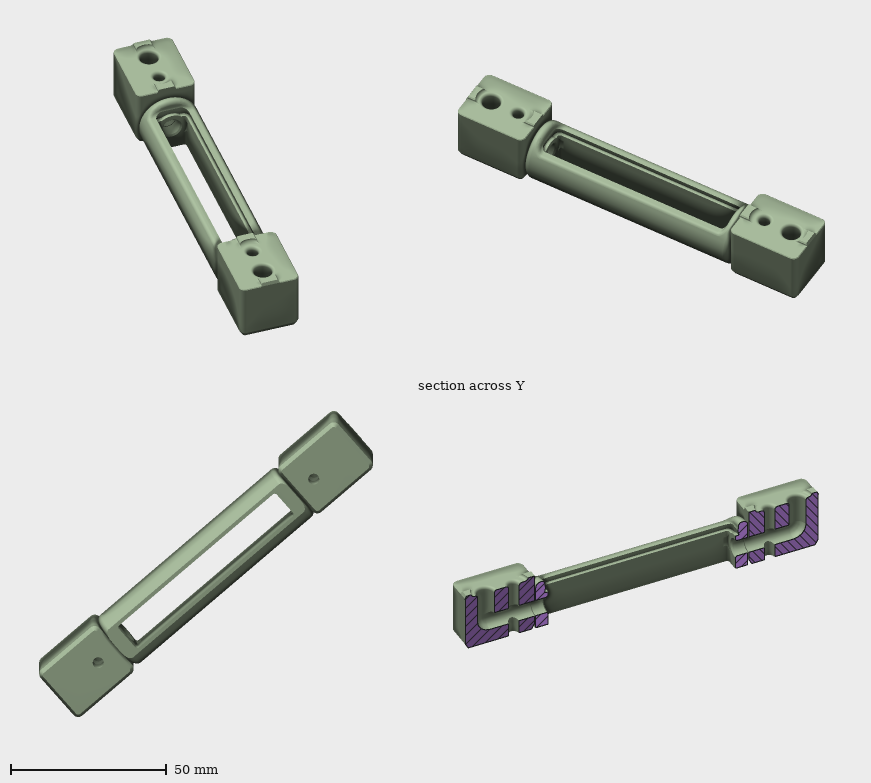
import cadquery as cq
import math

TOTAL_LENGTH = 126.7
BODY_WIDTH = 20.0
BLOCK_LENGTH = 25.0
BLOCK_HEIGHT = 20.0
KEY_OVERHANG = 0.06
OUTER_X = TOTAL_LENGTH / 2 - KEY_OVERHANG
BLOCK_INNER_X = OUTER_X - BLOCK_LENGTH
JOINT_GAP = 0.3
JOINT_X = BLOCK_INNER_X - JOINT_GAP
BLOCK_CENTER_X = (BLOCK_INNER_X + OUTER_X) / 2
AXIS_Z = 8.0

CORNER_RADIUS = 2.0
BASE_CHAMFER_HEIGHT = 1.9
BASE_CHAMFER_INSET = 1.1
TOP_CHAMFER = 0.3

KEY_HEIGHT = 1.0
KEY_TOP_Z = BLOCK_HEIGHT + KEY_HEIGHT
KEY_WIDTH = 5.8
KEY_TOP_CHAMFER = 0.4
KEY_ROOT_FILLET = 0.4
KEY_END_LEAN = 0.5

MOUNT_HOLE_X = OUTER_X - 7.5
BORE_DIAMETER = 6.0
MOUNT_RIM_FILLET = 1.0
MOUNT_RELIEF_DIAMETER = 10.3

PIN_HOLE_X = OUTER_X - 17.5
PIN_HOLE_DIAMETER = 3.5
PIN_RIM_FILLET = 1.2
PIN_RELIEF_DIAMETER = 10.0
RELIEF_FILLET = 1.0

ELBOW_BEND_RADIUS = 1.4

BORE_MOUTH_CHAMFER = 0.5
SELECT_MARGIN = 0.1
ROD_RADIUS = BODY_WIDTH / 2
ROD_END_FILLET = 1.9
RAIL_Z = 14.0
LIP_THICKNESS = 3.5
LIP_X = JOINT_X - LIP_THICKNESS
LIP_ROOT_FILLET = 1.9
RIM_FILLET = 1.5

POCKET_WIDTH = 11.1
POCKET_CORNER = 2.2
POCKET_DEPTH = 2.0
POCKET_UNDERCUT = 0.4
LEDGE_Z = RAIL_Z - POCKET_DEPTH

WINDOW_X = JOINT_X - 4.5
WINDOW_WIDTH = 9.6
WINDOW_CORNER = 0.9
PAD_DIAMETER = 10.3
SEAT_CLEARANCE = 1.6


def x_cylinder(radius, x_start, x_end):
    """Cylinder on the rod axis between two X positions."""
    plane = cq.Workplane("YZ", origin=(x_start, 0, AXIS_Z))
    return plane.circle(radius).extrude(x_end - x_start)


def z_cylinder(x, diameter, z_low, z_high):
    """Upright cylinder on the mid-plane."""
    plane = cq.Workplane("XY", origin=(x, 0, z_low))
    return plane.circle(diameter / 2).extrude(z_high - z_low)


def make_block_body():
    """Rounded block, tapered at the base and with its top edge broken."""
    body = (
        cq.Workplane("XY", origin=(BLOCK_CENTER_X, 0, 0))
        .rect(BLOCK_LENGTH, BODY_WIDTH)
        .extrude(BLOCK_HEIGHT)
        .edges("|Z")
        .fillet(CORNER_RADIUS)
    )
    bottom = body.faces("<Z")
    body = bottom.chamfer(BASE_CHAMFER_HEIGHT, BASE_CHAMFER_INSET)
    return body.faces(">Z").chamfer(TOP_CHAMFER)


def make_key_bar():
    """Key along the whole block: flared root, chamfered top, leaning outer end."""
    half = KEY_WIDTH / 2
    root = half + KEY_ROOT_FILLET
    swing = KEY_ROOT_FILLET * (1 - math.sqrt(0.5))
    end_x = OUTER_X + KEY_OVERHANG
    embed_z = BLOCK_HEIGHT - TOP_CHAMFER
    section = (
        cq.Workplane("YZ", origin=(BLOCK_INNER_X, 0, 0))
        .moveTo(-root, embed_z)
        .lineTo(-root, BLOCK_HEIGHT)
        .threePointArc((-half - swing, BLOCK_HEIGHT + swing), (-half, BLOCK_HEIGHT + KEY_ROOT_FILLET))
        .lineTo(-half, KEY_TOP_Z - KEY_TOP_CHAMFER)
        .lineTo(-half + KEY_TOP_CHAMFER, KEY_TOP_Z)
        .lineTo(half - KEY_TOP_CHAMFER, KEY_TOP_Z)
        .lineTo(half, KEY_TOP_Z - KEY_TOP_CHAMFER)
        .lineTo(half, BLOCK_HEIGHT + KEY_ROOT_FILLET)
        .threePointArc((half + swing, BLOCK_HEIGHT + swing), (root, BLOCK_HEIGHT))
        .lineTo(root, embed_z)
        .close()
        .extrude(end_x - BLOCK_INNER_X)
    )
    side = (
        cq.Workplane("XZ")
        .polyline([
            (BLOCK_INNER_X, embed_z),
            (BLOCK_INNER_X, KEY_TOP_Z),
            (end_x - KEY_END_LEAN, KEY_TOP_Z),
            (end_x, BLOCK_HEIGHT),
            (end_x, embed_z),
        ])
        .close()
        .extrude(BODY_WIDTH / 2, both=True)
    )
    return section.intersect(side)


def key_relief(x, diameter):
    """Round clearing above the block top, with its bottom edge rounded."""
    relief = z_cylinder(x, diameter, BLOCK_HEIGHT, KEY_TOP_Z + RELIEF_FILLET)
    return relief.faces("<Z").edges().fillet(RELIEF_FILLET)


def make_keys():
    """Bar split into an outer and an inner key by the clearings around the holes."""
    gap_length = MOUNT_HOLE_X - PIN_HOLE_X
    gap = (
        cq.Workplane("XY", origin=((MOUNT_HOLE_X + PIN_HOLE_X) / 2, 0, BLOCK_HEIGHT))
        .rect(gap_length, BODY_WIDTH)
        .extrude(KEY_HEIGHT)
    )
    mount_relief = key_relief(MOUNT_HOLE_X, MOUNT_RELIEF_DIAMETER)
    pin_relief = key_relief(PIN_HOLE_X, PIN_RELIEF_DIAMETER)
    return make_key_bar().cut(gap).cut(mount_relief).cut(pin_relief)


def rounded_hole(x, diameter, rim_fillet, z_low):
    """Cutter for an upright hole whose rim flares out to the block top in a round."""
    radius = diameter / 2
    swing = rim_fillet * (1 - math.sqrt(0.5))
    return (
        cq.Workplane("XZ", origin=(x, 0, 0))
        .moveTo(0, z_low)
        .lineTo(radius, z_low)
        .lineTo(radius, BLOCK_HEIGHT - rim_fillet)
        .threePointArc(
            (radius + swing, BLOCK_HEIGHT - swing),
            (radius + rim_fillet, BLOCK_HEIGHT),
        )
        .lineTo(0, BLOCK_HEIGHT)
        .close()
        .revolve(360, (0, 0, 0), (0, 1, 0))
    )


def make_elbow():
    """Tight bend joining the lengthwise bore to the mount hole.

    The bend is tighter than the bore radius, so only the part of the round section
    outside the bend axis is swept.
    """
    radius = BORE_DIAMETER / 2
    half_chord = math.sqrt(radius**2 - ELBOW_BEND_RADIUS**2)
    bend_x = MOUNT_HOLE_X - ELBOW_BEND_RADIUS
    bend_z = AXIS_Z + ELBOW_BEND_RADIUS
    return (
        cq.Workplane("XY", origin=(bend_x, 0, bend_z))
        .moveTo(0, -half_chord)
        .threePointArc((ELBOW_BEND_RADIUS + radius, 0), (0, half_chord))
        .close()
        .revolve(90, (0, 0, 0), (0, 1, 0))
    )


def make_end_block():
    """Block at the +X end."""
    bend_x = MOUNT_HOLE_X - ELBOW_BEND_RADIUS
    bend_z = AXIS_Z + ELBOW_BEND_RADIUS
    bore = x_cylinder(BORE_DIAMETER / 2, BLOCK_INNER_X, bend_x)
    mount_hole = rounded_hole(MOUNT_HOLE_X, BORE_DIAMETER, MOUNT_RIM_FILLET, bend_z)
    pin_hole = rounded_hole(PIN_HOLE_X, PIN_HOLE_DIAMETER, PIN_RIM_FILLET, 0)
    block = make_block_body().union(make_keys())
    for cutter in (bore, make_elbow(), mount_hole, pin_hole):
        block = block.cut(cutter)
    return block


def make_rod():
    """Flat-bottomed round rod with rounded ends."""
    inset = ROD_RADIUS - ROD_END_FILLET
    round_offset = ROD_END_FILLET * math.sqrt(0.5)
    profile = (
        cq.Workplane("XZ")
        .moveTo(-JOINT_X, 0)
        .lineTo(-JOINT_X, -inset)
        .threePointArc(
            (-JOINT_X + ROD_END_FILLET - round_offset, -inset - round_offset),
            (-JOINT_X + ROD_END_FILLET, -ROD_RADIUS),
        )
        .lineTo(JOINT_X - ROD_END_FILLET, -ROD_RADIUS)
        .threePointArc(
            (JOINT_X - ROD_END_FILLET + round_offset, -inset - round_offset),
            (JOINT_X, -inset),
        )
        .lineTo(JOINT_X, 0)
        .close()
    )
    rod = profile.revolve(360, (0, 0, 0), (1, 0, 0)).translate((0, 0, AXIS_Z))
    keep = cq.Workplane("XY").rect(TOTAL_LENGTH, 2 * BODY_WIDTH).extrude(2 * BODY_WIDTH)
    return rod.intersect(keep)


def make_rail_cut():
    """Material above the rails, with round roots at both lips."""
    height = BODY_WIDTH
    cut = cq.Workplane("XY", origin=(0, 0, RAIL_Z)).rect(2 * LIP_X, 2 * BODY_WIDTH).extrude(height)
    return cut.edges("<Z and |Y").fillet(LIP_ROOT_FILLET)


def pocket_outline(z):
    """Rounded pocket outline at one level; it narrows steadily with height."""
    growth = POCKET_UNDERCUT * (RAIL_Z - z) / POCKET_DEPTH
    return (
        cq.Sketch()
        .rect(2 * (LIP_X + growth), POCKET_WIDTH + 2 * growth)
        .vertices()
        .fillet(POCKET_CORNER)
        .moved(cq.Location(cq.Vector(0, 0, z)))
    )


def make_pocket():
    """Undercut pocket from the ledge up past the round roots of the lips."""
    top_z = RAIL_Z + LIP_ROOT_FILLET
    return cq.Workplane("XY").placeSketch(pocket_outline(LEDGE_Z), pocket_outline(top_z)).loft()


def make_window():
    """Rounded slot through the floor below the pocket."""
    return (
        cq.Workplane("XY")
        .rect(2 * WINDOW_X, WINDOW_WIDTH)
        .extrude(LEDGE_Z)
        .edges("|Z")
        .fillet(WINDOW_CORNER)
    )


def round_rim(rod):
    """Round the edge where the rod's outer surface meets the rail cut."""
    rim_zone = cq.selectors.BoxSelector(
        (-LIP_X - SELECT_MARGIN, -BODY_WIDTH, RAIL_Z - SELECT_MARGIN),
        (LIP_X + SELECT_MARGIN, BODY_WIDTH, BODY_WIDTH),
        boundingbox=True,
    )
    return rod.edges(rim_zone).edges("not(#X and #Z)").fillet(RIM_FILLET)


def make_handle():
    """Rod opened along its length, with a screw seat at each end."""
    handle = round_rim(make_rod().cut(make_rail_cut()))
    handle = handle.cut(make_pocket()).cut(make_window())

    seat_radius = PAD_DIAMETER / 2
    pad = x_cylinder(seat_radius, WINDOW_X, LIP_X + 2 * POCKET_UNDERCUT)
    clearance = x_cylinder(seat_radius, WINDOW_X - SEAT_CLEARANCE, WINDOW_X)
    bore = x_cylinder(BORE_DIAMETER / 2, WINDOW_X, JOINT_X)
    mouth = cq.Workplane(
        cq.Solid.makeCone(
            BORE_DIAMETER / 2 + BORE_MOUTH_CHAMFER,
            BORE_DIAMETER / 2,
            BORE_MOUTH_CHAMFER,
            cq.Vector(WINDOW_X, 0, AXIS_Z),
            cq.Vector(1, 0, 0),
        )
    )
    handle = handle.union(pad).union(pad.mirror("YZ"))
    for cutter in (clearance, bore, mouth):
        handle = handle.cut(cutter).cut(cutter.mirror("YZ"))
    return handle


handle = make_handle()
end_block = make_end_block()
end_blocks = [end_block, end_block.mirror("YZ")]

result = cq.Compound.makeCompound([handle.val(), *[block.val() for block in end_blocks]])